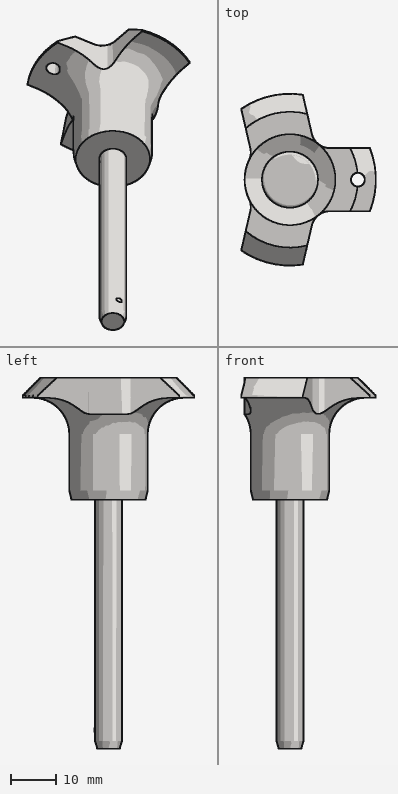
import cadquery as cq
import math

total_length = 82.0

wing_tip_radius = 19.0
wing_width = 14.0
wing_overrun = 1.0
wing_spread = 103.0
hub_radius = 10.05
corner_radius = 4.0
top_edge_radius = 15.0
tip_edge_round = 0.5
tip_rim_depth = 4.5

body_radius = 8.7
body_end_depth = 27.0
body_chamfer_height = 2.1
body_chamfer_width = 0.5
flare_radius = 8.0

shank_radius = 3.0
shank_chamfer_height = 1.7
shank_chamfer_width = 0.5

recess_step_radius = 8.0
recess_slope = 30.0
recess_dish_radius = 12.0
button_radius = 6.2
button_edge_radius = 0.75
button_shoulder_depth = 1.1
button_dome_height = 0.4

hole_diameter = 3.0
hole_position = 15.0

ball_radius = 1.0
ball_protrusion = 0.2
ball_depth = 77.8


def turned_blank():
    """Handle and body as a solid of revolution, before the wings are cut out."""
    flare_start_depth = tip_rim_depth + flare_radius
    flare_end_radius = body_radius + flare_radius
    flare_offset = flare_radius * (1 - math.sqrt(0.5))
    flare_middle = (body_radius + flare_offset, -tip_rim_depth - flare_offset)
    tip_corner_depth = wing_tip_radius - top_edge_radius
    round_setback = tip_edge_round * math.tan(math.radians(45 / 2))
    round_inset = round_setback * math.sqrt(0.5)
    round_end = (wing_tip_radius, -tip_corner_depth - round_setback)
    return (
        cq.Workplane("XZ")
        .moveTo(0, 0)
        .lineTo(top_edge_radius, 0)
        .lineTo(wing_tip_radius - round_inset, round_inset - tip_corner_depth)
        .radiusArc(round_end, tip_edge_round)
        .lineTo(wing_tip_radius, -tip_rim_depth)
        .lineTo(flare_end_radius, -tip_rim_depth)
        .threePointArc(flare_middle, (body_radius, -flare_start_depth))
        .lineTo(body_radius, body_chamfer_height - body_end_depth)
        .lineTo(body_radius - body_chamfer_width, -body_end_depth)
        .lineTo(0, -body_end_depth)
        .close()
        .revolve(360, (0, 0, 0), (0, 1, 0))
    )


def round_corner_pair(prism, distance, angle):
    """Round the upright edges at a distance from the axis, at plus and minus an angle."""
    for side_angle in (math.radians(angle), math.radians(-angle)):
        x = distance * math.cos(side_angle)
        y = distance * math.sin(side_angle)
        edge_middle = (x, y, -body_end_depth / 2)
        edge = prism.edges("|Z").edges(cq.selectors.NearestToPointSelector(edge_middle))
        prism = edge.fillet(corner_radius)
    return prism


def wing_prism():
    """Plan outline of the wings and hub with their concave corners, as a prism."""
    wing_length = wing_tip_radius + wing_overrun
    wing = (
        cq.Workplane("XY")
        .center(wing_length / 2, 0)
        .rect(wing_length, wing_width)
        .extrude(-body_end_depth)
    )
    prism = wing
    for angle in (wing_spread, -wing_spread):
        prism = prism.union(wing.rotate((0, 0, 0), (0, 0, 1), angle))

    front_angle = wing_spread / 2
    front_distance = wing_width / 2 / math.sin(math.radians(front_angle))
    prism = round_corner_pair(prism, front_distance, front_angle)

    prism = prism.union(cq.Workplane("XY").circle(hub_radius).extrude(-body_end_depth))
    rear_angle = wing_spread + math.degrees(math.asin(wing_width / 2 / hub_radius))
    return round_corner_pair(prism, hub_radius, rear_angle)


def top_recess():
    """Ring of material removed from the top, leaving the domed push button standing."""
    dome_rim_radius = button_radius - button_edge_radius
    dome_sphere_radius = (dome_rim_radius**2 + button_dome_height**2) / (2 * button_dome_height)
    slope = math.radians(recess_slope)
    cone_depth = (hub_radius - recess_step_radius) * math.tan(slope)
    dish_end_slope = math.asin(
        math.sin(slope) - (recess_step_radius - button_radius) / recess_dish_radius
    )
    dish_drop = recess_dish_radius * (math.cos(dish_end_slope) - math.cos(slope))
    dome_apex = (0, button_dome_height - button_shoulder_depth)
    return (
        cq.Workplane("XZ")
        .moveTo(0, 0)
        .lineTo(hub_radius, 0)
        .lineTo(recess_step_radius, -cone_depth)
        .radiusArc((button_radius, -cone_depth - dish_drop), recess_dish_radius)
        .lineTo(button_radius, -button_shoulder_depth - button_edge_radius)
        .radiusArc((dome_rim_radius, -button_shoulder_depth), -button_edge_radius)
        .radiusArc(dome_apex, -dome_sphere_radius)
        .close()
        .revolve(360, (0, 0, 0), (0, 1, 0))
    )


def shank():
    """Plain shank with a chamfered tip."""
    return (
        cq.Workplane("XZ")
        .moveTo(0, -body_end_depth)
        .lineTo(shank_radius, -body_end_depth)
        .lineTo(shank_radius, shank_chamfer_height - total_length)
        .lineTo(shank_radius - shank_chamfer_width, -total_length)
        .lineTo(0, -total_length)
        .close()
        .revolve(360, (0, 0, 0), (0, 1, 0))
    )


def locking_ball():
    """Ball set into the shank near its tip."""
    ball_offset = shank_radius + ball_protrusion - ball_radius
    return cq.Workplane("XY").sphere(ball_radius).translate((0, ball_offset, -ball_depth))


def wing_hole():
    """Upright through hole near the tip of the +X wing."""
    return cq.Workplane("XY").center(hole_position, 0).circle(hole_diameter / 2).extrude(-body_end_depth)


result = turned_blank().intersect(wing_prism())
result = result.cut(top_recess()).cut(wing_hole())
result = result.union(shank()).union(locking_ball())